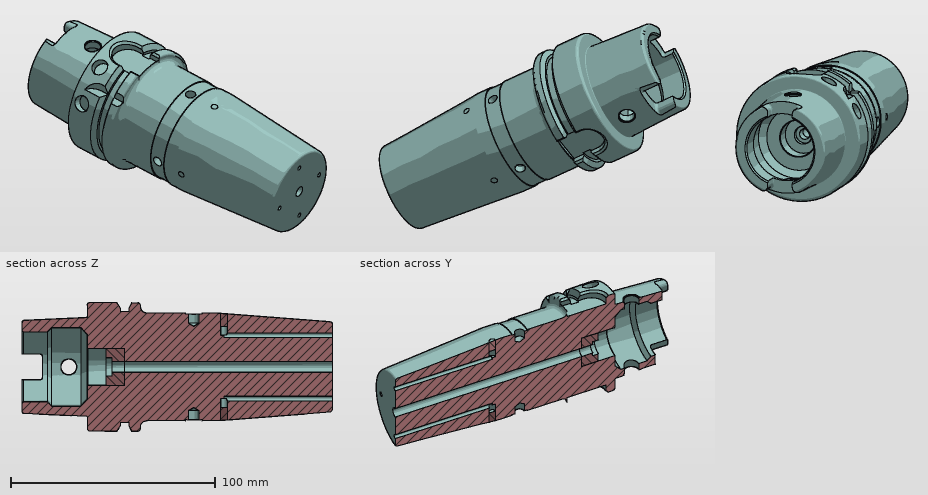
import cadquery as cq
import math


TAPER_LENGTH = 31.9
TAPER_REAR_RADIUS = 22.8
TAPER_FLANGE_RADIUS = 48.5 / 2
TAPER_EDGE_ROUND = 1.2
TAPER_ROOT_ROUND = 0.3

FLANGE_RADIUS = 63.0 / 2
FLANGE_FACE = TAPER_LENGTH
FLANGE_END = FLANGE_FACE + 26.1
FLANGE_EDGE_ROUND = 1.4
GROOVE_RADIUS = 27.4
GROOVE_LIP_RADIUS = 28.7
GROOVE_START = FLANGE_FACE + 16.4
GROOVE_END = FLANGE_FACE + 20.4
REAR_BEVEL_WIDTH = 1.8
FRONT_BEVEL_WIDTH = 1.4

NECK_RADIUS = 26.5
NECK_ROUND = 3.0
BAND_DEPTH = 0.5
BAND_START = 80.0
BAND_END = 88.1
CONE_START = 95.0
NOSE_FACE = 152.0
NOSE_RADIUS = 22.2
NOSE_EDGE_ROUND = 1.5

BORE_RADIUS = 17.0
BORE_CHAMFER = 0.8
LIP_END = 12.5
UNDERCUT_RADIUS = 19.1
UNDERCUT_END = 28.9
BORE_FLOOR = 31.9
BORE_FLOOR_RADIUS = 15.8

SEAT_RADIUS = 9.0
SEAT_CHAMFER = 0.3
SEAT_END = 50.1
INSERT_START = 41.0
COUNTERBORE_RADIUS = 4.4
COUNTERBORE_DEPTH = 3.0
PASSAGE_RADIUS = 2.6

DRIVE_HALF_WIDTH = 6.2
DRIVE_FLARE_RADIUS = 2.6
DRIVE_LEDGE_HEIGHT = 20.8
DRIVE_CORNER_ROUND = 1.2
TOP_DRIVE_DEPTH = 6.2
BOTTOM_DRIVE_DEPTH = 10.0

KEY_RADIUS = 7.9
KEY_FLOOR = NECK_RADIUS
KEY_CENTER = FLANGE_FACE + 12.9
KEY_CHAMFER = 1.2
NOTCH_RADIUS = 8.0
NOTCH_CENTER = FLANGE_FACE + 12.5
NOTCH_OFFSET = 20.0

CLAMP_HOLE_X = 23.0
CLAMP_HOLE_RADIUS = 3.8
CLAMP_HOLE_CHAMFER = 0.38
CLAMP_HOLE_SINK_DEPTH = 0.9
FLANGE_HOLE_X = FLANGE_FACE + 6.5
FLANGE_HOLE_RADIUS = 8.0 / 2
FLANGE_HOLE_FLOOR = 27.0
FLANGE_HOLE_ANGLES = (26.5, 63.5)
BAND_HOLE_X = (BAND_START + BAND_END) / 2
BAND_HOLE_RADIUS = 5.0 / 2
BAND_HOLE_DEPTH = 4.5
DRILL_HALF_ANGLE = 59

CROSS_BORE_X = 98.9
CROSS_BORE_RADIUS = 3.2 / 2
JET_PITCH_RADIUS = 15.5
JET_RADIUS = 1.0
PLUG_FLOOR = 19.8

QUARTER_TURNS = (0, 90, 180, 270)
HALF_TURNS = (0, 180)
ARC_45 = math.sin(math.radians(45))
AXIS_START = (0, 0, 0)
AXIS_END = (1, 0, 0)


def turn(shape, angle):
    """Rotate about the holder's axis; 90 degrees takes -Y to +Z."""
    return shape.rotate(AXIS_START, AXIS_END, -angle)


def revolve(outline):
    return outline.close().revolve(360, AXIS_START, AXIS_END)


def radial_pin(x, radius, inner, outer):
    """Cylinder that points to -Y, from the inner to the outer distance from the axis."""
    return cq.Workplane("XZ", origin=(x, -inner, 0)).circle(radius).extrude(outer - inner)


def outer_body():
    edge = TAPER_EDGE_ROUND
    root = TAPER_ROOT_ROUND
    rim = FLANGE_EDGE_ROUND
    neck = NECK_ROUND
    tip = NOSE_EDGE_ROUND
    bulge = 1 - ARC_45
    slope = (TAPER_FLANGE_RADIUS - TAPER_REAR_RADIUS) / TAPER_LENGTH
    outline = (
        cq.Workplane("XY")
        .moveTo(0, 0)
        .lineTo(0, TAPER_REAR_RADIUS - edge)
        .threePointArc(
            (edge * bulge, TAPER_REAR_RADIUS - edge * bulge), (edge, TAPER_REAR_RADIUS + edge * slope)
        )
        .lineTo(FLANGE_FACE - root, TAPER_FLANGE_RADIUS - root * slope)
        .threePointArc(
            (FLANGE_FACE - root * bulge, TAPER_FLANGE_RADIUS + root * bulge),
            (FLANGE_FACE, TAPER_FLANGE_RADIUS + root),
        )
        .lineTo(FLANGE_FACE, FLANGE_RADIUS - rim)
        .threePointArc(
            (FLANGE_FACE + rim * bulge, FLANGE_RADIUS - rim * bulge), (FLANGE_FACE + rim, FLANGE_RADIUS)
        )
        .lineTo(GROOVE_START - REAR_BEVEL_WIDTH, FLANGE_RADIUS)
        .lineTo(GROOVE_START, GROOVE_LIP_RADIUS)
        .lineTo(GROOVE_START, GROOVE_RADIUS)
        .lineTo(GROOVE_END, GROOVE_RADIUS)
        .lineTo(GROOVE_END, GROOVE_LIP_RADIUS)
        .lineTo(GROOVE_END + FRONT_BEVEL_WIDTH, FLANGE_RADIUS)
        .lineTo(FLANGE_END - rim, FLANGE_RADIUS)
        .threePointArc(
            (FLANGE_END - rim * bulge, FLANGE_RADIUS - rim * bulge), (FLANGE_END, FLANGE_RADIUS - rim)
        )
        .lineTo(FLANGE_END, NECK_RADIUS + neck)
        .threePointArc(
            (FLANGE_END + neck * bulge, NECK_RADIUS + neck * bulge), (FLANGE_END + neck, NECK_RADIUS)
        )
        .lineTo(BAND_START, NECK_RADIUS)
        .lineTo(BAND_START, NECK_RADIUS - BAND_DEPTH)
        .lineTo(BAND_END, NECK_RADIUS - BAND_DEPTH)
        .lineTo(BAND_END, NECK_RADIUS)
        .lineTo(CONE_START, NECK_RADIUS)
        .lineTo(NOSE_FACE - tip, NOSE_RADIUS)
        .threePointArc((NOSE_FACE - tip * bulge, NOSE_RADIUS - tip * bulge), (NOSE_FACE, NOSE_RADIUS - tip))
        .lineTo(NOSE_FACE, 0)
    )
    return revolve(outline)


def inner_passage():
    undercut_rise = UNDERCUT_RADIUS - BORE_RADIUS
    return revolve(
        cq.Workplane("XY")
        .moveTo(0, 0)
        .lineTo(0, BORE_RADIUS + BORE_CHAMFER)
        .lineTo(BORE_CHAMFER, BORE_RADIUS)
        .lineTo(LIP_END, BORE_RADIUS)
        .lineTo(LIP_END + undercut_rise, UNDERCUT_RADIUS)
        .lineTo(UNDERCUT_END, UNDERCUT_RADIUS)
        .lineTo(BORE_FLOOR, BORE_FLOOR_RADIUS)
        .lineTo(BORE_FLOOR, SEAT_RADIUS + SEAT_CHAMFER)
        .lineTo(BORE_FLOOR + SEAT_CHAMFER, SEAT_RADIUS)
        .lineTo(SEAT_END, SEAT_RADIUS)
        .lineTo(SEAT_END, PASSAGE_RADIUS)
        .lineTo(NOSE_FACE, PASSAGE_RADIUS)
        .lineTo(NOSE_FACE, 0)
    )


def drive_slot(depth):
    """Cutter for the slot on the +Z side: straight walls that flare out to a flat ledge."""
    flare_center_y = DRIVE_HALF_WIDTH + DRIVE_FLARE_RADIUS
    flare_start = DRIVE_LEDGE_HEIGHT - DRIVE_FLARE_RADIUS
    arc_y = flare_center_y - DRIVE_FLARE_RADIUS * ARC_45
    arc_z = flare_start + DRIVE_FLARE_RADIUS * ARC_45
    top = FLANGE_RADIUS
    ledge_end = flare_center_y + 2 * DRIVE_FLARE_RADIUS
    return (
        cq.Workplane("YZ")
        .moveTo(-DRIVE_HALF_WIDTH, 0)
        .lineTo(DRIVE_HALF_WIDTH, 0)
        .lineTo(DRIVE_HALF_WIDTH, flare_start)
        .threePointArc((arc_y, arc_z), (flare_center_y, DRIVE_LEDGE_HEIGHT))
        .lineTo(ledge_end, DRIVE_LEDGE_HEIGHT)
        .lineTo(ledge_end, top)
        .lineTo(-ledge_end, top)
        .lineTo(-ledge_end, DRIVE_LEDGE_HEIGHT)
        .lineTo(-flare_center_y, DRIVE_LEDGE_HEIGHT)
        .threePointArc((-arc_y, arc_z), (-DRIVE_HALF_WIDTH, flare_start))
        .close()
        .extrude(depth)
        .faces(">X")
        .edges("not(>Z or <Z)")
        .fillet(DRIVE_CORNER_ROUND)
    )


def round_ended_slot(center_x, center_y, floor, radius):
    """Milled slot with a flat floor, open at the flange's front and rounded towards the taper."""
    length = FLANGE_END - center_x
    plane = cq.Workplane("XY", origin=(center_x, center_y, floor))
    straight = plane.center(length / 2, 0).rect(length, 2 * radius).extrude(FLANGE_RADIUS)
    return straight.union(plane.circle(radius).extrude(FLANGE_RADIUS))


def key_slot():
    """Cutter for the slot on the +Z side, its mouth chamfered where it meets the rim."""
    width = FLANGE_END - FLANGE_FACE
    disc = cq.Workplane("YZ", origin=(FLANGE_FACE, 0, 0)).circle(FLANGE_RADIUS).extrude(width)
    slotted = disc.cut(round_ended_slot(KEY_CENTER, 0, KEY_FLOOR, KEY_RADIUS))
    margin = KEY_CHAMFER
    around_mouth = cq.selectors.BoxSelector(
        (FLANGE_FACE + margin, -KEY_RADIUS - margin, KEY_FLOOR + margin),
        (FLANGE_END - margin, KEY_RADIUS + margin, FLANGE_RADIUS + margin),
    )
    return disc.cut(slotted.edges(around_mouth).edges("not |Z").chamfer(KEY_CHAMFER))


def orientation_notch():
    """Cutter on the -Y, +Z side with a flat floor and a flat wall."""
    return round_ended_slot(NOTCH_CENTER, -NOTCH_OFFSET - NOTCH_RADIUS, NOTCH_OFFSET, NOTCH_RADIUS)


def clamp_hole():
    """Hole on the +Z side through the taper wall, its mouth countersunk."""
    taper_rise = TAPER_FLANGE_RADIUS - TAPER_REAR_RADIUS
    surface = TAPER_REAR_RADIUS + taper_rise * CLAMP_HOLE_X / TAPER_LENGTH
    mouth_radius = CLAMP_HOLE_RADIUS + CLAMP_HOLE_CHAMFER
    sink_floor = surface - CLAMP_HOLE_SINK_DEPTH
    return (
        cq.Workplane("XZ")
        .moveTo(CLAMP_HOLE_X, 0)
        .lineTo(CLAMP_HOLE_X + CLAMP_HOLE_RADIUS, 0)
        .lineTo(CLAMP_HOLE_X + CLAMP_HOLE_RADIUS, sink_floor)
        .lineTo(CLAMP_HOLE_X + mouth_radius, sink_floor + CLAMP_HOLE_CHAMFER)
        .lineTo(CLAMP_HOLE_X + mouth_radius, FLANGE_RADIUS)
        .lineTo(CLAMP_HOLE_X, FLANGE_RADIUS)
        .close()
        .revolve(360, (CLAMP_HOLE_X, 0, 0), (CLAMP_HOLE_X, 1, 0))
    )


def band_hole():
    """Blind hole pointing to -Y, with a drill-point floor."""
    floor = NECK_RADIUS - BAND_DEPTH - BAND_HOLE_DEPTH
    tip = floor - BAND_HOLE_RADIUS / math.tan(math.radians(DRILL_HALF_ANGLE))
    return (
        cq.Workplane("XY")
        .moveTo(BAND_HOLE_X, -tip)
        .lineTo(BAND_HOLE_X + BAND_HOLE_RADIUS, -floor)
        .lineTo(BAND_HOLE_X + BAND_HOLE_RADIUS, -FLANGE_RADIUS)
        .lineTo(BAND_HOLE_X, -FLANGE_RADIUS)
        .close()
        .revolve(360, (BAND_HOLE_X, 0, 0), (BAND_HOLE_X, 1, 0))
    )


def coolant_channel():
    """Cutter on the -Y side for the axial jet and the cross bore that meets it."""
    cross_bore = radial_pin(CROSS_BORE_X, CROSS_BORE_RADIUS, JET_PITCH_RADIUS, FLANGE_RADIUS)
    jet = (
        cq.Workplane("YZ", origin=(CROSS_BORE_X, -JET_PITCH_RADIUS, 0))
        .circle(JET_RADIUS)
        .extrude(NOSE_FACE - CROSS_BORE_X)
    )
    return cross_bore.union(jet)


def coolant_plug():
    """Pin on the -Y side in the cross bore, its outer end flush with the cone."""
    return radial_pin(CROSS_BORE_X, CROSS_BORE_RADIUS, PLUG_FLOOR, FLANGE_RADIUS).intersect(outer_body())


def build_insert():
    """Round insert at the inner end of the central seat, with a stepped through hole."""
    plane = cq.Workplane("YZ", origin=(INSERT_START, 0, 0))
    ring = plane.circle(SEAT_RADIUS).circle(PASSAGE_RADIUS).extrude(SEAT_END - INSERT_START)
    return ring.cut(plane.circle(COUNTERBORE_RADIUS).extrude(COUNTERBORE_DEPTH))


def build_holder():
    holder = outer_body().cut(inner_passage())
    holder = holder.cut(drive_slot(TOP_DRIVE_DEPTH))
    holder = holder.cut(turn(drive_slot(BOTTOM_DRIVE_DEPTH), 180))
    for angle in HALF_TURNS:
        holder = holder.cut(turn(key_slot(), angle))
        holder = holder.cut(turn(clamp_hole(), angle))
    holder = holder.cut(orientation_notch())
    for angle in FLANGE_HOLE_ANGLES:
        hole = radial_pin(FLANGE_HOLE_X, FLANGE_HOLE_RADIUS, FLANGE_HOLE_FLOOR, FLANGE_RADIUS)
        holder = holder.cut(turn(hole, angle))
    for angle in QUARTER_TURNS:
        holder = holder.cut(turn(band_hole(), angle))
        holder = holder.cut(turn(coolant_channel(), angle))
    return holder


holder = build_holder()
insert = build_insert()
plugs = [turn(coolant_plug(), angle) for angle in QUARTER_TURNS]

result = cq.Compound.makeCompound([holder.val(), insert.val(), *[plug.val() for plug in plugs]])